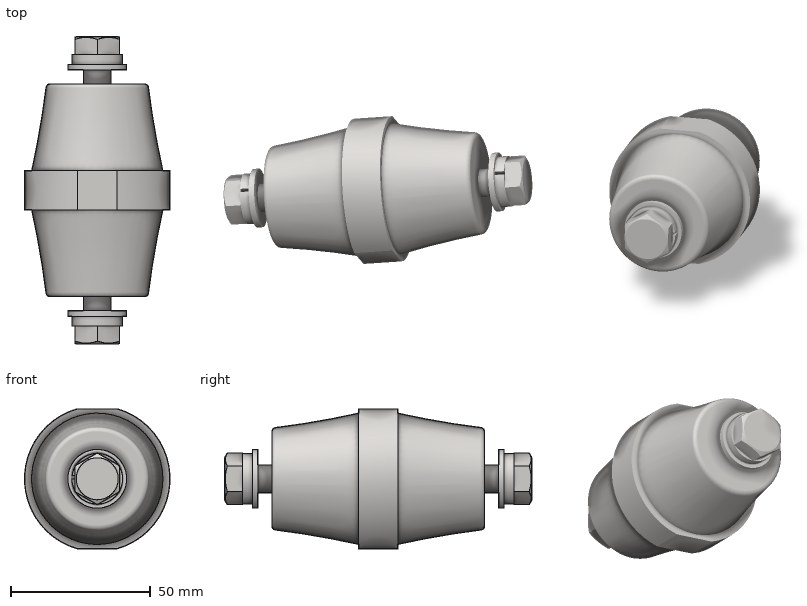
import cadquery as cq
import math


insulator_length = 76.0
band_diameter = 52.0
band_width = 14.0
band_flat_distance = 50.0
end_radius = 18.15
root_radius = 23.45
side_sag = 0.4
end_rounding = 1.5

head_across_flats = 16.0
head_height = 6.4
head_face_diameter = 15.0
head_chamfer_angle = 30.0
spring_washer_diameter = 18.1
spring_washer_thickness = 3.5
spring_washer_gap = 1.2
flat_washer_diameter = 21.0
flat_washer_thickness = 2.0
shank_diameter = 10.0
shank_exposed = 5.0
shank_depth = 15.0

end_face_y = insulator_length / 2
shank_tip_y = end_face_y - shank_depth
flat_washer_y = end_face_y + shank_exposed
spring_washer_y = flat_washer_y + flat_washer_thickness
head_y = spring_washer_y + spring_washer_thickness
head_top_y = head_y + head_height


def cylinder_along_y(diameter, start_y, length):
    """Cylinder on the Y axis that runs from start_y towards +Y."""
    return cq.Workplane("XZ", origin=(0, start_y, 0)).circle(diameter / 2).extrude(-length)


def mirrored(body):
    """Copy of a body at the opposite (-Y) end."""
    return body.mirror("XZ")


def make_flared_half():
    """Half of the insulator: a slightly concave taper with a rounded end."""
    root_y = band_width / 2
    taper_length = end_face_y - root_y
    taper_drop = root_radius - end_radius
    side_length = math.hypot(taper_length, taper_drop)
    middle_of_side = (
        (root_radius + end_radius) / 2 - side_sag * taper_length / side_length,
        (root_y + end_face_y) / 2 - side_sag * taper_drop / side_length,
    )
    profile = (
        cq.Workplane("XY")
        .lineTo(root_radius, 0)
        .lineTo(root_radius, root_y)
        .threePointArc(middle_of_side, (end_radius, end_face_y))
        .lineTo(0, end_face_y)
        .close()
    )
    half = profile.revolve(360, (0, 0, 0), (0, 1, 0))
    return half.faces(">Y").edges().fillet(end_rounding)


def make_band():
    """Central band with a flat on its top and bottom."""
    disc = cylinder_along_y(band_diameter, -band_width / 2, band_width)
    return disc.intersect(cq.Workplane("XY").box(band_diameter, band_width, band_flat_distance))


def make_insulator():
    half = make_flared_half()
    shank_hole = cylinder_along_y(shank_diameter, shank_tip_y, shank_depth)
    body = make_band().union(half).union(mirrored(half))
    return body.cut(shank_hole).cut(mirrored(shank_hole))


def make_head():
    """Hexagon head with flats facing +X and -X and its outer corners chamfered."""
    corner_radius = head_across_flats / math.sqrt(3)
    face_radius = head_face_diameter / 2
    chamfer_drop = (corner_radius - face_radius) * math.tan(math.radians(head_chamfer_angle))
    hexagon = (
        cq.Workplane("XZ", origin=(0, head_y, 0))
        .transformed(rotate=(0, 0, 90))
        .polygon(6, 2 * corner_radius)
        .extrude(-head_height)
    )
    chamfer_envelope = (
        cq.Workplane("XY")
        .moveTo(0, head_y)
        .lineTo(corner_radius, head_y)
        .lineTo(corner_radius, head_top_y - chamfer_drop)
        .lineTo(face_radius, head_top_y)
        .lineTo(0, head_top_y)
        .close()
        .revolve(360, (0, 0, 0), (0, 1, 0))
    )
    return hexagon.intersect(chamfer_envelope)


def make_spring_washer():
    """Ring around the shank, split on its -X side."""
    ring = cylinder_along_y(spring_washer_diameter, spring_washer_y, spring_washer_thickness)
    split = cq.Workplane("XY").box(
        spring_washer_diameter, spring_washer_thickness, spring_washer_gap, centered=False
    )
    return ring.cut(split.translate((-spring_washer_diameter, spring_washer_y, 0)))


def make_bolt():
    """Bolt at the +Y end."""
    shank = cylinder_along_y(shank_diameter, shank_tip_y, head_y - shank_tip_y)
    flat_washer = cylinder_along_y(flat_washer_diameter, flat_washer_y, flat_washer_thickness)
    return shank.union(flat_washer).union(make_spring_washer()).union(make_head())


insulator = make_insulator()
back_bolt = make_bolt()
front_bolt = mirrored(back_bolt)

result = cq.Compound.makeCompound([insulator.val(), back_bolt.val(), front_bolt.val()])